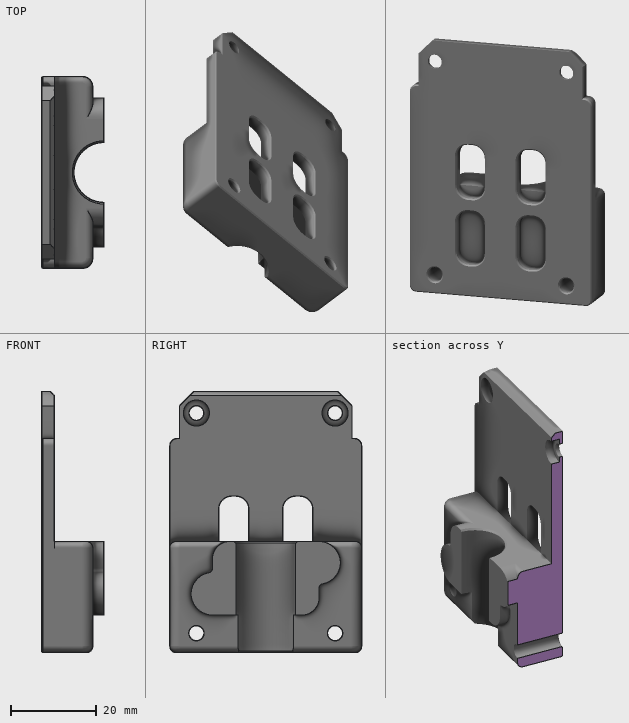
import cadquery as cq
import math

PLATE_THICKNESS = 3.0
PLATE_WIDTH = 45.0
PLATE_HEIGHT = 50.2
PLATE_TOP_RADIUS = 1.75
EDGE_CHAMFER = 0.3

TOTAL_HEIGHT = 61.25
TAB_WIDTH = 40.5
TAB_CORNER_CHAMFER = 3.4
TAB_FRONT_CHAMFER = 1.0

BLOCK_DEPTH = 12.0
BLOCK_HEIGHT = 26.05
BLOCK_CORNER_RADIUS = 2.4
BLOCK_EDGE_RADIUS = 1.5

TOTAL_DEPTH = 14.6
PAD_BOTTOM = 8.8
PAD_HALF_WIDTH = 12.5
PAD_CORNER_RADIUS = 4.0
LUG_RADIUS = 5.0
LUG_BLEND_RADIUS = 1.0

CHANNEL_RADIUS = 7.0
CHANNEL_CHAMFER = 0.4

HOLE_OFFSET = 16.25
UPPER_HOLE_DIAMETER = 3.4
UPPER_HOLE_HEIGHT = 56.15
COUNTERBORE_DIAMETER = 6.1
COUNTERBORE_DEPTH = 2.0
LOWER_HOLE_DIAMETER = 3.5
LOWER_HOLE_HEIGHT = 4.55

SLOT_WIDTH = 7.0
SLOT_LENGTH = 13.0
SLOT_CORNER_RADIUS = 3.0
SLOT_DEPTH = PLATE_THICKNESS
SLOT_OFFSET = 7.5
SLOT_HEIGHTS = (14.1, 30.15)


def make_plate():
    """Plate with rounded corners and a chamfered back edge."""
    plate = cq.Workplane("XY").box(
        PLATE_THICKNESS, PLATE_WIDTH, PLATE_HEIGHT, centered=(False, True, False)
    )
    plate = plate.edges("|X and >Z").fillet(PLATE_TOP_RADIUS)
    plate = plate.edges("|X and <Z").fillet(BLOCK_EDGE_RADIUS)
    return plate.faces("<X").chamfer(EDGE_CHAMFER)


def make_tab():
    """Tab above the plate, bevelled at its corners and along its top front edge."""
    root = PLATE_HEIGHT - PLATE_TOP_RADIUS
    tab = (
        cq.Workplane("XY")
        .workplane(offset=root)
        .box(PLATE_THICKNESS, TAB_WIDTH, TOTAL_HEIGHT - root, centered=(False, True, False))
    )
    tab = tab.edges("|X and >Z").chamfer(TAB_CORNER_CHAMFER)
    return tab.edges(">X and >Z").chamfer(TAB_FRONT_CHAMFER)


def make_block():
    """Body block with rounded front corners and rounded top, bottom and side edges."""
    back = PLATE_THICKNESS / 2
    block = (
        cq.Workplane("XY")
        .box(BLOCK_DEPTH - back, PLATE_WIDTH, BLOCK_HEIGHT, centered=(False, True, False))
        .translate((back, 0, 0))
    )
    block = block.edges("|Z and >X").fillet(BLOCK_CORNER_RADIUS)
    return block.edges("(>Z or <Z) and (not <X)").fillet(BLOCK_EDGE_RADIUS)


def half_pad_outline():
    """Points (Y, Z) of half the pad outline, which ends where its half-turn copy begins.

    They run from the bottom of the lug on the -Y side up to the top of the lug on the +Y side.
    """
    lug_y = -PAD_HALF_WIDTH
    lug_z = PAD_BOTTOM + LUG_RADIUS
    blend_angle = math.asin(LUG_BLEND_RADIUS / (LUG_RADIUS + LUG_BLEND_RADIUS))
    blend_z = lug_z + (LUG_RADIUS + LUG_BLEND_RADIUS) * math.cos(blend_angle)
    lug_end = (
        lug_y - LUG_RADIUS * math.sin(blend_angle),
        lug_z + LUG_RADIUS * math.cos(blend_angle),
    )
    half_blend = (math.pi / 2 - blend_angle) / 2
    blend_middle = (
        lug_y - LUG_BLEND_RADIUS + LUG_BLEND_RADIUS * math.cos(half_blend),
        blend_z - LUG_BLEND_RADIUS * math.sin(half_blend),
    )
    corner_y = lug_y + PAD_CORNER_RADIUS
    corner_z = BLOCK_HEIGHT - PAD_CORNER_RADIUS
    corner_reach = PAD_CORNER_RADIUS * math.sqrt(0.5)
    return {
        "start": (lug_y, PAD_BOTTOM),
        "lug_middle": (lug_y - LUG_RADIUS, lug_z),
        "lug_end": lug_end,
        "blend_middle": blend_middle,
        "blend_end": (lug_y, blend_z),
        "corner_start": (lug_y, corner_z),
        "corner_middle": (corner_y - corner_reach, corner_z + corner_reach),
        "corner_end": (corner_y, BLOCK_HEIGHT),
        "end": (PAD_HALF_WIDTH, BLOCK_HEIGHT),
    }


def make_pad():
    """Clamp pad: the half outline and its half-turn copy, extruded along X."""
    points = half_pad_outline()
    height_sum = PAD_BOTTOM + BLOCK_HEIGHT

    def unturned(point):
        return point

    def turned(point):
        return (-point[0], height_sum - point[1])

    back = BLOCK_DEPTH / 2
    outline = cq.Workplane("YZ").workplane(offset=back).moveTo(*points["start"])
    for place in (unturned, turned):
        outline = (
            outline.threePointArc(place(points["lug_middle"]), place(points["lug_end"]))
            .threePointArc(place(points["blend_middle"]), place(points["blend_end"]))
            .lineTo(*place(points["corner_start"]))
            .threePointArc(place(points["corner_middle"]), place(points["corner_end"]))
            .lineTo(*place(points["end"]))
        )
    return outline.close().extrude(TOTAL_DEPTH - back)


def make_channel():
    """Cutter for the half-round channel, flared at the top and bottom of the block."""
    channel = cq.Workplane("XY").center(TOTAL_DEPTH, 0).circle(CHANNEL_RADIUS).extrude(BLOCK_HEIGHT)
    flare_radius = CHANNEL_RADIUS + CHANNEL_CHAMFER
    flare = cq.Solid.makeCone(
        flare_radius, CHANNEL_RADIUS, CHANNEL_CHAMFER, pnt=cq.Vector(TOTAL_DEPTH, 0, 0)
    )
    top_flare = flare.mirror("XY", cq.Vector(0, 0, BLOCK_HEIGHT / 2))
    return channel.union(cq.Workplane(flare)).union(cq.Workplane(top_flare))


def make_hole(diameter, y, z):
    """Cutter for a plain hole along X through the whole part."""
    return cq.Workplane("YZ").center(y, z).circle(diameter / 2).extrude(TOTAL_DEPTH)


def make_lower_hole(y):
    """Cutter for a hole through plate and block, chamfered at the back face."""
    radius = LOWER_HOLE_DIAMETER / 2
    rim = cq.Solid.makeCone(
        radius + EDGE_CHAMFER,
        radius,
        EDGE_CHAMFER,
        pnt=cq.Vector(0, y, LOWER_HOLE_HEIGHT),
        dir=cq.Vector(1, 0, 0),
    )
    return make_hole(LOWER_HOLE_DIAMETER, y, LOWER_HOLE_HEIGHT).union(cq.Workplane(rim))


def make_upper_hole(y):
    """Cutter for a hole in the tab, counterbored from the front."""
    hole = make_hole(UPPER_HOLE_DIAMETER, y, UPPER_HOLE_HEIGHT)
    counterbore = (
        cq.Workplane("YZ")
        .workplane(offset=PLATE_THICKNESS - COUNTERBORE_DEPTH)
        .center(y, UPPER_HOLE_HEIGHT)
        .circle(COUNTERBORE_DIAMETER / 2)
        .extrude(COUNTERBORE_DEPTH)
    )
    return hole.union(counterbore)


def rounded_bar(y, z, growth, depth):
    """Rounded rectangular bar along X, as wide as a slot plus the growth on every side."""
    bar = (
        cq.Workplane("YZ")
        .center(y, z)
        .rect(SLOT_WIDTH + 2 * growth, SLOT_LENGTH + 2 * growth)
        .extrude(depth)
    )
    return bar.edges("|X").fillet(SLOT_CORNER_RADIUS + growth)


def make_slot(y, z):
    """Cutter for one rounded slot with a chamfered rim at the back face.

    The rim is a wider bar whose chamfered front end reaches into the plate.
    """
    rim_length = 2 * EDGE_CHAMFER
    rim = rounded_bar(y, z, EDGE_CHAMFER, rim_length).faces(">X").chamfer(EDGE_CHAMFER)
    rim = rim.translate((EDGE_CHAMFER - rim_length, 0, 0))
    return rounded_bar(y, z, 0, SLOT_DEPTH).union(rim)


part = make_plate().union(make_tab()).union(make_block()).union(make_pad()).clean()
part = part.cut(make_channel())
for side in (-1, 1):
    part = part.cut(make_upper_hole(side * HOLE_OFFSET))
    part = part.cut(make_lower_hole(side * HOLE_OFFSET))
    for slot_height in SLOT_HEIGHTS:
        part = part.cut(make_slot(side * SLOT_OFFSET, slot_height))

result = part